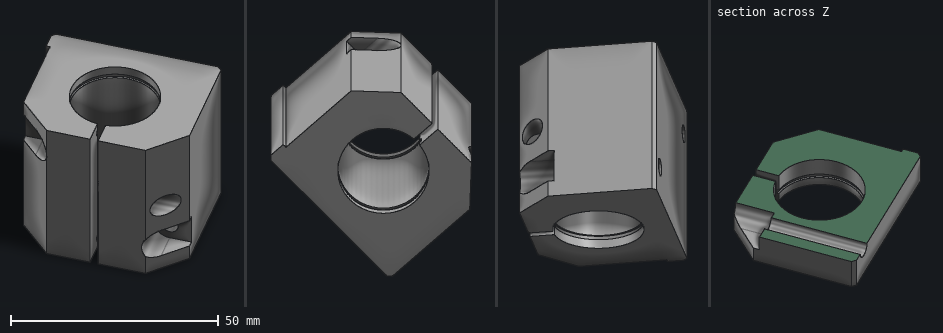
import cadquery as cq

width = 43.0
depth = 35.0
height = 39.0

lip_width = 1.0
lip_depth = 5.0
back_chamfer = 1.0
front_chamfer = 8.5

bore_radius = 11.0
bore_x = width / 2
bore_y = 17.0
split_width = 2.0
groove_depth = 0.5
groove_width = 1.1
groove_inset = 2.3

pocket_radius = 4.0
pocket_depth = 10.0
mount_hole_diameter = 4.2
mount_end_inset = 8.0
left_mount_x = lip_width + front_chamfer - pocket_radius
right_mount_x = 37.5

recess_diameter = 6.0
recess_x = 38.35
recess_y = recess_x - (width - front_chamfer)
recess_floor_x = 30.1


def make_body():
    outline = [
        (lip_width + front_chamfer, 0),
        (width - front_chamfer, 0),
        (width, front_chamfer),
        (width, depth - back_chamfer),
        (width - back_chamfer, depth),
        (back_chamfer, depth),
        (0, depth - back_chamfer),
        (0, depth - lip_depth),
        (lip_width, depth - lip_depth),
        (lip_width, front_chamfer),
    ]
    return cq.Workplane("XY").polyline(outline).close().extrude(height)


def make_bore():
    bore = cq.Workplane("XY").center(bore_x, bore_y).circle(bore_radius).extrude(height)
    split = cq.Workplane("XY").box(split_width, bore_y, height, centered=(True, False, False))
    bore = bore.union(split.translate((bore_x, 0, 0)))
    for bottom in (groove_inset, height - groove_inset - groove_width):
        groove = (
            cq.Workplane("XY", origin=(bore_x, bore_y, bottom))
            .circle(bore_radius + groove_depth)
            .extrude(groove_width)
        )
        bore = bore.union(groove)
    return bore


def make_mount(x, z, outward):
    """Through hole along Y and a round-ended pocket open on its outward (+1 or -1) X side."""
    plane = cq.Workplane("XZ", origin=(x, pocket_depth, z))
    round_end = plane.circle(pocket_radius).extrude(pocket_depth)
    straight_length = 2 * pocket_radius
    straight = (
        plane.center(outward * straight_length / 2, 0)
        .rect(straight_length, 2 * pocket_radius)
        .extrude(pocket_depth)
    )
    hole = cq.Workplane("XZ", origin=(x, depth, z)).circle(mount_hole_diameter / 2).extrude(depth)
    return round_end.union(straight).union(hole)


def make_screw_recess():
    return (
        cq.Workplane("YZ", origin=(recess_floor_x, recess_y, height / 2))
        .circle(recess_diameter / 2)
        .extrude(width - recess_floor_x)
    )


result = (
    make_body()
    .cut(make_bore())
    .cut(make_mount(left_mount_x, height - mount_end_inset, -1))
    .cut(make_mount(right_mount_x, mount_end_inset, 1))
    .cut(make_screw_recess())
)